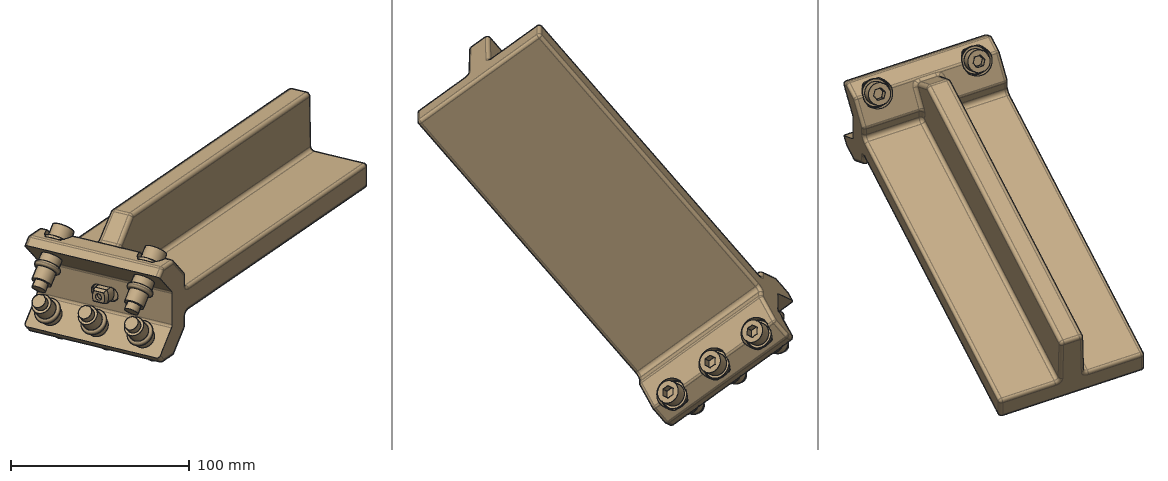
import cadquery as cq
import math


overall_length = 239.0
width = 88.0
plate_thickness = 15.0
jaw_back_y = 14.8
jaw_half_height = 29.2
seat_corner_z = 10.5
jaw_offset = 31.3
jaw_tip_offset = 39.2
edge_radius = 2.0
neck_radius = 2.9
seat_radius = 2.5

rib_top_z = 42.5
rib_top_width = 14.0
rib_draft = 1.0
rib_front_offset = 24.0
rib_edge_radius = 2.5
rib_fillet = 2.5

bolt_spacing = 30.0
bolt_axis_offset = 25.0
head_top = -25.5
head_height = 8.0
head_radius = 6.5
socket_width = 6.2
socket_depth = 5.3
washer_thickness = 1.7
washer_radius = 8.0
counterbore_radius = 8.5
collar_radius = 6.2
ring_start = -2.6
ring_end = 0.7
ring_radius = 7.6
ring_round = 1.55
shank_radius = 5.7
shank_end = 8.4
tip_radius = 4.0
tip_end = 12.7

nose_reach = bolt_axis_offset / 2 + (tip_end + tip_radius) / math.sqrt(2)
rear_y = overall_length - nose_reach

slot_length = 17.2
slot_height = 8.4
slot_depth = 2.0
key_length = 10.0
key_flat_length = 7.6
key_shoulder = 4.0
key_taper_height = 2.6
key_taper = 20.0
key_hole_radius = 2.0
key_hole_depth = 2.2

tolerance = 0.12


def jaw_corners():
    """Upper half of the side outline as (Y, Z), from the rear end to the seat."""
    half_plate = plate_thickness / 2
    tip_z = (seat_corner_z + jaw_tip_offset) / 2
    return [
        (rear_y, half_plate),
        (jaw_back_y, half_plate),
        (jaw_back_y, jaw_offset - jaw_back_y),
        (jaw_offset - jaw_half_height, jaw_half_height),
        (jaw_half_height - jaw_tip_offset, jaw_half_height),
        (seat_corner_z - tip_z, tip_z),
        (0, seat_corner_z),
    ]


def fillet_corners(body, corners, radius):
    """Round the edges parallel to X that pass through the corners (Y, Z) and (Y, -Z)."""
    edges = []
    for edge in body.edges("|X").vals():
        centre = edge.Center()
        for y, z in corners:
            if math.hypot(centre.y - y, abs(centre.z) - z) < tolerance:
                edges.append(edge)
    return body.newObject(edges).fillet(radius)


def arm_and_jaws():
    """Plate that ends in two mirrored 45 degree jaws, one profile along X."""
    upper = jaw_corners()
    lower = [(y, -z) for y, z in reversed(upper)]
    body = cq.Workplane("YZ").polyline(upper + lower).close().extrude(width / 2, both=True)
    _, neck, shoulder, crown, brow, _, seat = upper
    body = fillet_corners(body, [neck], neck_radius)
    body = fillet_corners(body, [seat], seat_radius)
    body = fillet_corners(body, [shoulder, crown, brow], edge_radius)
    return round_sides(body)


def round_sides(body):
    """Round the outline of both end faces, leaving the mouth between the jaws and the rear end sharp."""
    edges = []
    for edge in body.faces("<X or >X").edges().vals():
        centre = edge.Center()
        in_mouth = centre.y < tolerance + seat_corner_z - abs(centre.z) and centre.y < seat_radius
        if not in_mouth and centre.y < rear_y - tolerance:
            edges.append(edge)
    return body.newObject(edges).fillet(edge_radius)


def rib():
    """Drafted web on top of the plate, cut off at 45 degrees towards the jaws."""
    top_half = rib_top_width / 2
    base_half = top_half + rib_top_z * math.tan(math.radians(rib_draft))
    section = [(-base_half, 0), (base_half, 0), (top_half, rib_top_z), (-top_half, rib_top_z)]
    web = cq.Workplane("XZ").polyline(section).close().extrude(-rear_y)
    side = [
        (rear_y, 0),
        (rear_y, rib_top_z),
        (rib_top_z - rib_front_offset, rib_top_z),
        (0, rib_front_offset),
        (0, 0),
    ]
    web = web.intersect(cq.Workplane("YZ").polyline(side).close().extrude(width / 2, both=True))
    exposed = []
    for edge in web.edges().vals():
        centre = edge.Center()
        if centre.z > plate_thickness / 2 and tolerance < centre.y < rear_y - tolerance:
            exposed.append(edge)
    return web.newObject(exposed).fillet(rib_edge_radius)


def join_rib(body):
    """Add the rib, fillet its foot along the plate and jaw, then round the rear end."""
    joined = body.union(rib())
    foot_half = rib_top_width / 2 + rib_fillet
    foot = []
    for edge in joined.edges().vals():
        box = edge.BoundingBox()
        on_top = box.zmin > plate_thickness / 2 - tolerance and box.zmax < jaw_half_height + tolerance
        near_rib = max(-box.xmin, box.xmax) < foot_half
        if on_top and near_rib and tolerance < edge.Center().y < rear_y - tolerance:
            foot.append(edge)
    joined = joined.newObject(foot).fillet(rib_fillet)
    return joined.faces(">Y").edges().fillet(edge_radius)


def on_bolt_axis(x):
    """Workplane across an upper bolt axis, its normal pointing out of the mouth of the jaws."""
    half_offset = bolt_axis_offset / 2
    return cq.Workplane(cq.Plane((x, -half_offset, half_offset), xDir=(1, 0, 0), normal=(0, -1, -1)))


def along_bolt(x, start, end, radius):
    """Cylinder on an upper bolt axis between two positions along it."""
    return on_bolt_axis(x).workplane(offset=start).circle(radius).extrude(end - start)


def bolt(x):
    """Socket head screw with washer, shouldered collar, rounded ring and stepped nose."""
    washer_top = head_top + head_height
    washer_bottom = washer_top + washer_thickness
    socket = on_bolt_axis(x).workplane(offset=head_top)
    socket = socket.polygon(6, socket_width / math.cos(math.pi / 6)).extrude(socket_depth)
    head = along_bolt(x, head_top, washer_bottom, head_radius).cut(socket)
    washer = along_bolt(x, washer_top, washer_bottom, washer_radius)
    ring = along_bolt(x, ring_start, ring_end, ring_radius).edges().fillet(ring_round)
    collar = along_bolt(x, washer_bottom, (ring_start + ring_end) / 2, collar_radius)
    shank = along_bolt(x, ring_start, shank_end, shank_radius)
    tip = along_bolt(x, ring_start, tip_end, tip_radius)
    return head.union(washer).union(collar).union(ring).union(shank).union(tip)


def counterbore(x):
    """Pocket in the outer jaw corner that takes the washer and the foot of the head."""
    return along_bolt(x, head_top, head_top + head_height + washer_thickness, counterbore_radius)


def add_bolts(body):
    """Two bolts through the upper jaw and three, mirrored, through the lower jaw."""
    upper_places = [-bolt_spacing, bolt_spacing]
    lower_places = [-bolt_spacing, 0, bolt_spacing]
    for x in upper_places:
        body = body.cut(counterbore(x)).union(bolt(x))
    for x in lower_places:
        body = body.cut(counterbore(x).mirror("XY")).union(bolt(x).mirror("XY"))
    return body


def key_outline(y):
    """Outline of the key at the given Y: flat above and below, bowed at both ends."""
    half_flat = key_flat_length / 2
    half_length = key_length / 2
    half_height = slot_height / 2
    return (
        cq.Workplane("XZ", origin=(0, y, 0))
        .moveTo(-half_flat, -half_height)
        .lineTo(half_flat, -half_height)
        .threePointArc((half_length, 0), (half_flat, half_height))
        .lineTo(-half_flat, half_height)
        .threePointArc((-half_length, 0), (-half_flat, -half_height))
        .close()
    )


def add_key(body):
    """Sink a round-ended slot in the seat and stand a tapered key with a blind hole in it."""
    key_top = key_shoulder + key_taper_height
    slot = cq.Workplane("XZ", origin=(0, slot_depth, 0)).slot2D(slot_length, slot_height).extrude(slot_depth)
    stem = key_outline(slot_depth).extrude(slot_depth + key_shoulder)
    nose = key_outline(-key_shoulder).extrude(key_taper_height, taper=key_taper)
    hole = cq.Workplane("XZ", origin=(0, -key_top, 0)).circle(key_hole_radius).extrude(-key_hole_depth)
    return body.cut(slot).union(stem).union(nose).cut(hole)


body = join_rib(arm_and_jaws())
body = add_bolts(body)
result = add_key(body)